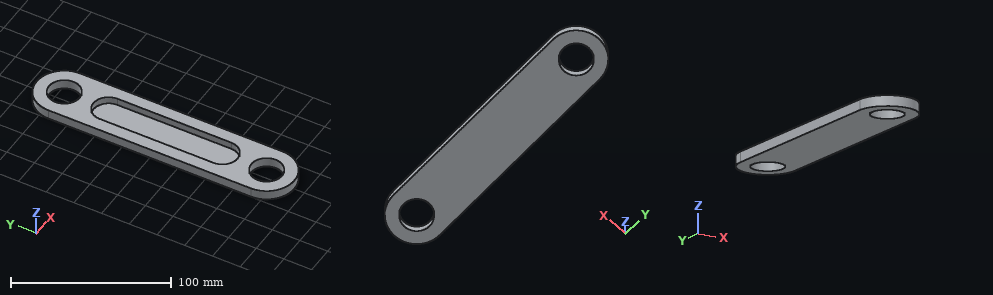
import cadquery as cq

length = 186.0
width = 40.0
thickness = 7.0
hole_diameter = 22.0
hole_spacing = length - width

pocket_length = 104.0
pocket_width = hole_diameter
pocket_depth = 5.2


def rounded_bar(bar_length, bar_width, bottom, height):
    """Solid with a round-ended outline running along Y."""
    return (
        cq.Workplane("XY")
        .workplane(offset=bottom)
        .slot2D(bar_length, bar_width, 90)
        .extrude(height)
    )


body = rounded_bar(length, width, 0, thickness)
pocket = rounded_bar(pocket_length, pocket_width, thickness - pocket_depth, pocket_depth)
holes = (
    cq.Workplane("XY")
    .pushPoints([(0, -hole_spacing / 2), (0, hole_spacing / 2)])
    .circle(hole_diameter / 2)
    .extrude(thickness)
)

result = body.cut(pocket).cut(holes)